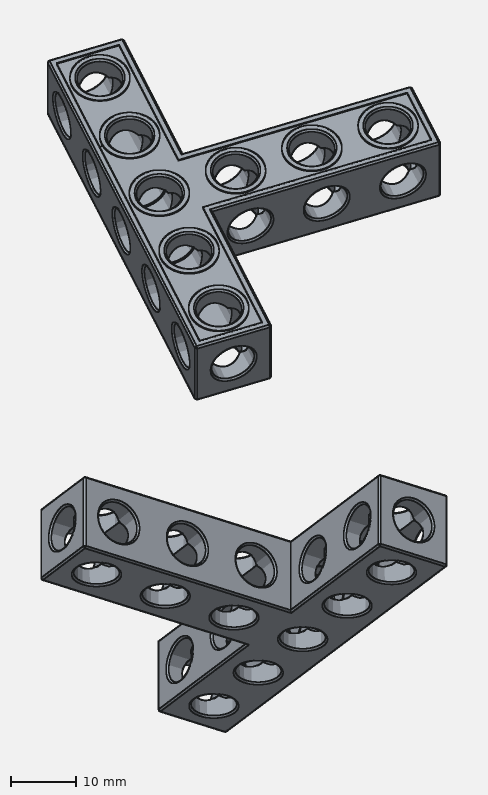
import cadquery as cq

pitch = 12.5
bar_cells = 5
stem_cells = 3
hole_diameter = 7.0
ring_diameter = 9.2
chamfer = 0.3
rim_width = 1.1
recess_depth = 0.2

half = pitch / 2
bar_length = bar_cells * pitch
stem_length = stem_cells * pitch
bar_positions = [(i - (bar_cells - 1) / 2) * pitch for i in range(bar_cells)]
stem_positions = [(i + 1) * pitch for i in range(stem_cells)]


def tee_prism(inset, bottom, height):
    """T-shaped prism whose outline is moved inwards by inset."""
    bar = cq.Workplane("XY", origin=(0, 0, bottom)).rect(bar_length - 2 * inset, pitch - 2 * inset)
    stem_end = half + stem_length - inset
    stem = (
        cq.Workplane("XY", origin=(0, stem_end / 2, bottom))
        .rect(pitch - 2 * inset, stem_end)
    )
    return bar.extrude(height).union(stem.extrude(height)).clean()


def cylinder(start, direction, diameter, length):
    """Cylinder running from start along direction."""
    solid = cq.Solid.makeCylinder(diameter / 2, length, cq.Vector(*start), cq.Vector(*direction))
    return cq.Workplane(solid)


def countersink(mouth, inward):
    """Conical cutter for the chamfer at the mouth of a hole."""
    radius = hole_diameter / 2
    cone = cq.Solid.makeCone(
        radius + chamfer, radius, chamfer, cq.Vector(*mouth), cq.Vector(*inward)
    )
    return cq.Workplane(cone)


def hole_cutter(start, end, direction):
    """Through hole from start to end, chamfered at both mouths."""
    length = (cq.Vector(*end) - cq.Vector(*start)).Length
    backward = tuple(-component for component in direction)
    return (
        cylinder(start, direction, hole_diameter, length)
        .union(countersink(start, direction))
        .union(countersink(end, backward))
    )


body = (
    tee_prism(0, -half, pitch)
    .faces("<X or >X or <Y or >Y or <Z or >Z")
    .edges()
    .chamfer(chamfer)
)

vertical_centres = [(x, 0) for x in bar_positions] + [(0, y) for y in stem_positions]
recess = tee_prism(rim_width, half - recess_depth, recess_depth)
for x, y in vertical_centres:
    recess = recess.cut(cylinder((x, y, half - recess_depth), (0, 0, 1), ring_diameter, recess_depth))
body = body.cut(recess)

for x, y in vertical_centres:
    body = body.cut(hole_cutter((x, y, -half), (x, y, half), (0, 0, 1)))

for x in bar_positions:
    far_end = half + stem_length if x == 0 else half
    body = body.cut(hole_cutter((x, -half, 0), (x, far_end, 0), (0, 1, 0)))

body = body.cut(hole_cutter((-bar_length / 2, 0, 0), (bar_length / 2, 0, 0), (1, 0, 0)))

for y in [0] + stem_positions:
    body = body.cut(hole_cutter((-half, y, 0), (half, y, 0), (1, 0, 0)))

result = body